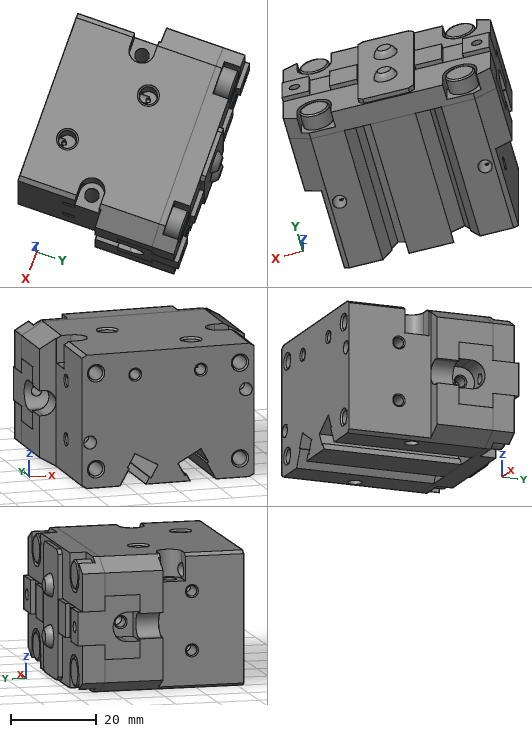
import cadquery as cq
import math


width = 50.0
height = 32.0
mounting_width = 42.0
flange_start = 20.5
cover_start = 34.5
cover_end = 39.9
jaw_end = 41.0
corner_drop = 3.0
corner_slope = 30.0
corner_run = corner_drop / math.tan(math.radians(corner_slope))

jaw_inner_x = 6.95
stem_width = 8.0
head_width = 15.0
head_start = 26.0
key_groove_center = 16.0
key_groove_width = 5.0
finger_hole_x = 22.0
finger_hole_radius = 1.25
jaw_pocket_y = 29.0
jaw_pocket_radius = 3.5
jaw_pocket_floor_x = 18.5
flange_groove_radius = 3.0

plate_width = 13.4
plate_height = 31.0
plate_corner_x = 1.2
plate_corner_z = 1.0
button_z = 6.05
button_radius = 2.8
button_top_radius = 1.6
button_height = 1.65
button_middle_radius = 2.4

bolt_x = 17.55
bolt_z = 11.5
screw_head_radius = 3.55
screw_head_edge = 0.35
screw_recess_radius = 4.1
screw_recess_floor = 36.0

drill_tip_angle = 118.0
mount_thread_radius = 1.7
mount_thread_mouth = 2.1
mount_thread_depth = 14.7
clamp_hole_y = 17.05
clamp_hole_radius = 1.65
clamp_pocket_radius = 3.0
clamp_pocket_floor = 9.5
small_thread_radius = 1.25
small_thread_mouth = 1.55
side_hole_y = 12.5
side_hole_z = 7.0
side_hole_depth = 6.0
jaw_thread_depth = 4.0
pin_hole_x = 19.0
pin_hole_z = 5.0
pin_hole_radius = 1.55
pin_hole_depth = 6.0

port_x = 8.0
top_port_radius = 2.1
top_port_mouth = 2.55
top_port_floor = 9.6
top_port_left_y = 22.0
top_port_right_y = 7.65
front_port_z = 10.5
front_port_left_depth = 22.0
front_port_right_depth = 6.85
air_channel_radius = 0.55
air_channel_setback = 0.05
air_channel_depth = 2.5

sensor_slant = 29.0
sensor_top_x = 8.05
sensor_top_z = -8.45
sensor_width = 6.4
sensor_lip = 0.45
sensor_outer_lip_depth = 3.75
sensor_inner_lip_depth = 3.5
sensor_groove_reach = 12.5


def block(x_min, x_max, y_min, y_max, z_min, z_max):
    size = (x_max - x_min, y_max - y_min, z_max - z_min)
    return cq.Workplane("XY").box(*size, centered=False).translate((x_min, y_min, z_min))


def along_y(y_start):
    """Workplane at y_start whose extrusions run toward +Y; local (x, y) is (X, -Z)."""
    return cq.Workplane(cq.Plane((0, y_start, 0), (1, 0, 0), (0, 1, 0)))


def mirror_x(shape):
    return shape.mirror("YZ")


def cut_both_sides(body, tool):
    return body.cut(tool).cut(mirror_x(tool))


def drilled(origin, direction, radius, depth, mouth_radius=None):
    """Blind hole with a conical tip, running toward "+x", "+y" or "-z", and an optional 45 degree
    countersunk mouth."""
    tip = radius / math.tan(math.radians(drill_tip_angle / 2))
    profile = [(0, 0), (radius, 0), (radius, depth), (0, depth + tip)]
    if mouth_radius:
        profile[1:2] = [(mouth_radius, 0), (radius, mouth_radius - radius)]
    tool = cq.Workplane("XY").polyline(profile).close().revolve(360, (0, 0, 0), (0, 1, 0))
    if direction == "+x":
        tool = tool.rotate((0, 0, 0), (0, 0, 1), -90)
    elif direction == "-z":
        tool = tool.rotate((0, 0, 0), (1, 0, 0), -90)
    return tool.translate(origin)


def octagon_plate(y_start, y_end, x_size, z_size, cut_x, cut_z):
    x = x_size / 2
    z = z_size / 2
    outline = [
        (x, z - cut_z), (x - cut_x, z), (cut_x - x, z), (-x, z - cut_z),
        (-x, cut_z - z), (cut_x - x, -z), (x - cut_x, -z), (x, cut_z - z),
    ]
    return along_y(y_start).polyline(outline).close().extrude(y_end - y_start)


def main_block():
    block_body = octagon_plate(0, cover_start, width, height, corner_run, corner_drop)
    step = block(-width / 2, -mounting_width / 2, 0, flange_start, -height / 2, height / 2)
    return cut_both_sides(block_body, step)


def jaw_blank():
    """T-shaped bar on the -X side."""
    x_range = (-width / 2, -jaw_inner_x)
    stem = block(*x_range, head_start, jaw_end, -stem_width / 2, stem_width / 2)
    head = block(*x_range, head_start, cover_start, -head_width / 2, head_width / 2)
    return stem.union(head)


def jaw():
    body = jaw_blank()
    groove_min = -key_groove_center - key_groove_width / 2
    groove_max = -key_groove_center + key_groove_width / 2
    body = body.cut(block(groove_min, groove_max, cover_end, jaw_end, -stem_width, stem_width))
    r = jaw_pocket_radius
    pocket = (
        cq.Workplane("YZ", origin=(-width / 2, jaw_pocket_y, 0)).circle(r)
        .extrude(width / 2 - jaw_pocket_floor_x)
    )
    pocket = pocket.union(block(-width / 2, -jaw_pocket_floor_x, head_start, jaw_pocket_y, -r, r))
    body = body.cut(pocket)
    body = body.cut(
        along_y(jaw_pocket_y).center(-finger_hole_x, 0).circle(finger_hole_radius)
        .extrude(jaw_end - jaw_pocket_y)
    )
    thread_start = (-jaw_pocket_floor_x, jaw_pocket_y, 0)
    return body.cut(
        drilled(thread_start, "+x", small_thread_radius, jaw_thread_depth, small_thread_mouth)
    )


def flange_groove():
    r = flange_groove_radius
    edge = width / 2
    axis_x = mounting_width / 2 + r
    groove = along_y(flange_start).center(-axis_x, 0).circle(r).extrude(head_start - flange_start)
    return groove.union(block(-edge, -axis_x, flange_start, head_start, -r, r))


def clamp_hole():
    r = clamp_pocket_radius
    hole = (
        cq.Workplane("XY", origin=(-bolt_x, clamp_hole_y, -height / 2))
        .circle(clamp_hole_radius).extrude(height)
    )
    seat = (
        cq.Workplane("XY", origin=(-bolt_x, clamp_hole_y, clamp_pocket_floor))
        .circle(r).extrude(height / 2 - clamp_pocket_floor)
    )
    mouth = block(-mounting_width / 2, -bolt_x, clamp_hole_y - r, clamp_hole_y + r,
                  clamp_pocket_floor, height / 2)
    return hole.union(seat).union(mouth)


def side_hole(z):
    origin = (-mounting_width / 2, side_hole_y, z)
    return drilled(origin, "+x", small_thread_radius, side_hole_depth, small_thread_mouth)


def mounting_thread(z):
    origin = (-bolt_x, 0, z)
    return drilled(origin, "+y", mount_thread_radius, mount_thread_depth, mount_thread_mouth)


def cut_air_port(body, x, y, front_depth):
    """Cut a flat-bottomed vertical port, the bore that meets it and the fine channel at its end."""
    channel_start = (x, front_depth - air_channel_setback, front_port_z)
    channel = drilled(channel_start, "-z", air_channel_radius, air_channel_depth)
    front = drilled((x, 0, front_port_z), "+y", small_thread_radius, front_depth, small_thread_mouth)
    port_profile = [
        (0, top_port_floor),
        (top_port_radius, top_port_floor),
        (top_port_radius, height / 2 - (top_port_mouth - top_port_radius)),
        (top_port_mouth, height / 2),
        (0, height / 2),
    ]
    port = cq.Workplane("XZ").polyline(port_profile).close().revolve(360, (0, 0, 0), (0, 1, 0))
    return body.cut(port.translate((x, y, 0))).cut(front).cut(channel)


def sensor_groove():
    """T-shaped groove on the -X side, leaning outward as it goes down to the underside."""
    slant = math.radians(sensor_slant)

    def point(across, down):
        x = -sensor_top_x + across * math.cos(slant) - down * math.sin(slant)
        z = sensor_top_z - across * math.sin(slant) - down * math.cos(slant)
        return (x, -z)

    inner_side = sensor_width - sensor_lip
    outline = [
        point(0, 0),
        point(sensor_width, 0),
        point(sensor_width, sensor_inner_lip_depth),
        point(inner_side, sensor_inner_lip_depth),
        point(inner_side, sensor_groove_reach),
        point(sensor_lip, sensor_groove_reach),
        point(sensor_lip, sensor_outer_lip_depth),
        point(0, sensor_outer_lip_depth),
    ]
    return along_y(0).polyline(outline).close().extrude(cover_start)


def screw_recess(z_sign):
    r = screw_recess_radius
    depth = cover_end - screw_recess_floor
    recess = along_y(screw_recess_floor).center(-bolt_x, -z_sign * bolt_z).circle(r).extrude(depth)
    z_low, z_high = sorted((z_sign * bolt_z, z_sign * height / 2))
    return recess.union(block(-bolt_x - r, -bolt_x + r, screw_recess_floor, cover_end, z_low, z_high))


def screw_head(z_sign):
    head = along_y(screw_recess_floor).center(-bolt_x, -z_sign * bolt_z).circle(screw_head_radius)
    return head.extrude(cover_end - screw_recess_floor).faces(">Y").chamfer(screw_head_edge)


def button_head(z):
    head = (
        cq.Workplane("XY").lineTo(button_radius, 0)
        .threePointArc((button_middle_radius, button_height / 2), (button_top_radius, button_height))
        .lineTo(0, button_height).close().revolve(360, (0, 0, 0), (0, 1, 0))
    )
    return head.translate((0, jaw_end, z))


def drilled_block():
    """Main block with its slots and holes."""
    body = main_block()
    for tool in (jaw_blank(), flange_groove(), clamp_hole(), sensor_groove()):
        body = cut_both_sides(body, tool)
    for sign in (-1, 1):
        body = cut_both_sides(body, side_hole(sign * side_hole_z))
        body = cut_both_sides(body, mounting_thread(sign * bolt_z))
    body = cut_air_port(body, -port_x, top_port_left_y, front_port_left_depth)
    body = cut_air_port(body, port_x, top_port_right_y, front_port_right_depth)
    for sign in (-1, 1):
        origin = (sign * pin_hole_x, 0, sign * pin_hole_z)
        body = body.cut(drilled(origin, "+y", pin_hole_radius, pin_hole_depth))
    return body


def cover():
    """Jaw end of the housing with the corner screw heads and the centre plate."""
    body = octagon_plate(cover_start, cover_end, width, height, corner_run, corner_drop)
    body = cut_both_sides(body, jaw_blank())
    for z_sign in (-1, 1):
        body = cut_both_sides(body, screw_recess(z_sign))
        head = screw_head(z_sign)
        body = body.union(head).union(mirror_x(head))
    body = body.union(
        octagon_plate(cover_end, jaw_end, plate_width, plate_height, plate_corner_x, plate_corner_z)
    )
    for z in (-button_z, button_z):
        body = body.union(button_head(z))
    return body


def housing():
    """One solid; the edge between block and cover is kept as a line on the outer faces."""
    return drilled_block().union(cover(), clean=False)


gripper_housing = housing()
left_jaw = jaw()
jaws = [left_jaw, mirror_x(left_jaw)]

result = cq.Compound.makeCompound([gripper_housing.solids().val(), *[each.solids().val() for each in jaws]])